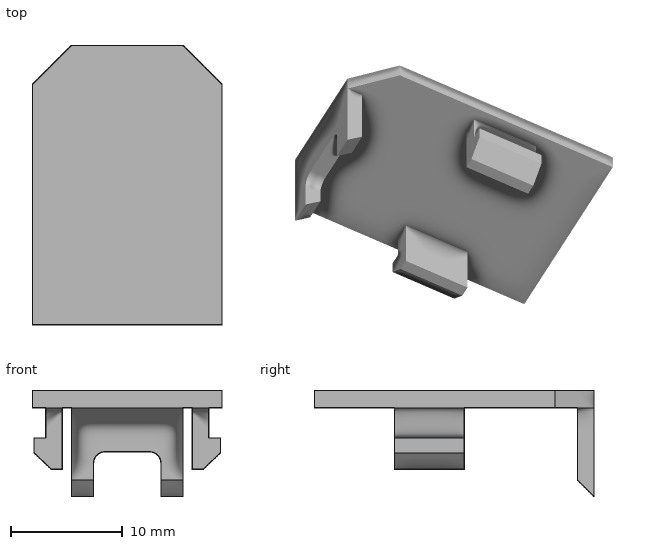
import cadquery as cq

plate_width = 16.95
plate_length = 25
plate_thickness = 1.55
total_height = 9.5
tongue_width = 10
corner_cut = (plate_width - tongue_width) / 2

tongue_thickness = 1.5
tongue_drop = total_height - plate_thickness
tip_bevel = 1.5
leg_width = 2
leg_length = 4
slot_radius = 1

clip_inner_x = 5.8
clip_thickness = 1.5
barb_reach = 1.05
clip_start_y = 7.15
clip_length = 6.25
clip_drop = 5.5
barb_ledge_drop = 2.7
barb_face_height = 1.32
clip_tip_width = 1


def make_plate():
    plate = cq.Workplane("XY").box(
        plate_width, plate_length, plate_thickness, centered=(True, False, False)
    )
    return plate.edges("|Z and >Y").chamfer(corner_cut)


def make_tongue():
    front_y = plate_length - tongue_thickness
    side_profile = [
        (front_y, 0),
        (plate_length, 0),
        (plate_length, -tongue_drop),
        (front_y, tip_bevel - tongue_drop),
    ]
    tongue = cq.Workplane("YZ").polyline(side_profile).close().extrude(tongue_width / 2, both=True)
    slot = (
        cq.Workplane("XY")
        .box(tongue_width - 2 * leg_width, tongue_thickness, leg_length, centered=(True, False, False))
        .edges("|Y and >Z")
        .fillet(slot_radius)
        .translate((0, front_y, -tongue_drop))
    )
    return tongue.cut(slot)


def make_clip():
    stem_outer_x = clip_inner_x + clip_thickness
    barb_x = stem_outer_x + barb_reach
    profile = [
        (clip_inner_x, 0),
        (stem_outer_x, 0),
        (stem_outer_x, -barb_ledge_drop),
        (barb_x, -barb_ledge_drop),
        (barb_x, -barb_ledge_drop - barb_face_height),
        (clip_inner_x + clip_tip_width, -clip_drop),
        (clip_inner_x, -clip_drop),
    ]
    clip = cq.Workplane("XZ").polyline(profile).close().extrude(-clip_length)
    return clip.translate((0, clip_start_y, 0))


right_clip = make_clip()
left_clip = right_clip.mirror("YZ")
result = make_plate().union(make_tongue()).union(right_clip).union(left_clip)